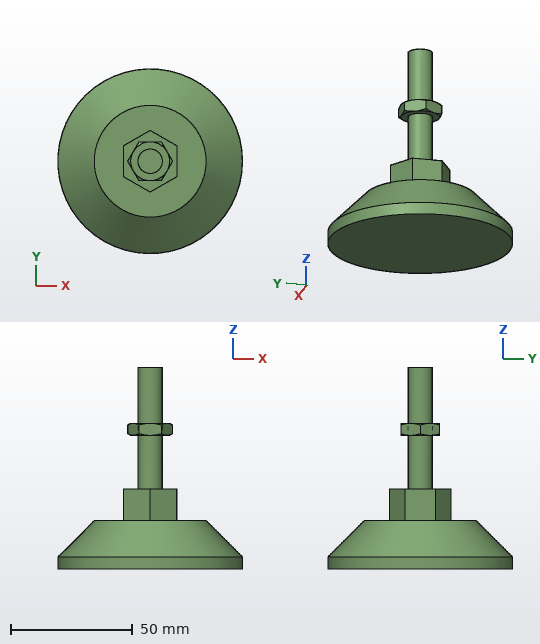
import cadquery as cq
import math

PAD_DIAMETER = 76.0
PAD_TOP_DIAMETER = 46.0
PAD_RIM_HEIGHT = 5.0
PAD_HEIGHT = 20.0

STUD_DIAMETER = 10.0
STUD_TOP = 82.9
STUD_HEX_ACROSS_FLATS = 22.0
STUD_HEX_HEIGHT = 13.0

NUT_ACROSS_FLATS = 16.0
NUT_BOTTOM = 55.0
NUT_HEIGHT = 5.0
NUT_CHAMFER_ANGLE = 30.0


def corner_diameter(across_flats):
    return across_flats / math.cos(math.pi / 6)


def make_pad():
    """Disc rim with a cone above it, ending in a flat top."""
    outer_radius = PAD_DIAMETER / 2
    profile = [
        (0, 0),
        (outer_radius, 0),
        (outer_radius, PAD_RIM_HEIGHT),
        (PAD_TOP_DIAMETER / 2, PAD_HEIGHT),
        (0, PAD_HEIGHT),
    ]
    return cq.Workplane("XZ").polyline(profile).close().revolve(360, (0, 0), (0, 1))


def make_stud():
    """Hexagon standing on the pad, corners along Y, with the round stud above it."""
    hexagon = (
        cq.Workplane("XY", origin=(0, 0, PAD_HEIGHT))
        .polygon(6, corner_diameter(STUD_HEX_ACROSS_FLATS))
        .extrude(STUD_HEX_HEIGHT)
        .rotate((0, 0, 0), (0, 0, 1), 90)
    )
    shank_length = STUD_TOP - PAD_HEIGHT - STUD_HEX_HEIGHT
    return hexagon.faces(">Z").workplane().circle(STUD_DIAMETER / 2).extrude(shank_length)


def make_nut():
    """Hexagonal nut, corners along X, with its corners chamfered at both ends."""
    corner_radius = corner_diameter(NUT_ACROSS_FLATS) / 2
    face_radius = NUT_ACROSS_FLATS / 2
    chamfer_height = (corner_radius - face_radius) * math.tan(math.radians(NUT_CHAMFER_ANGLE))
    blank = cq.Workplane("XY").polygon(6, 2 * corner_radius).extrude(NUT_HEIGHT)
    chamfer_profile = [
        (0, 0),
        (face_radius, 0),
        (corner_radius, chamfer_height),
        (corner_radius, NUT_HEIGHT - chamfer_height),
        (face_radius, NUT_HEIGHT),
        (0, NUT_HEIGHT),
    ]
    envelope = cq.Workplane("XZ").polyline(chamfer_profile).close().revolve(360, (0, 0), (0, 1))
    bore = cq.Workplane("XY").circle(STUD_DIAMETER / 2).extrude(NUT_HEIGHT)
    return blank.intersect(envelope).cut(bore).translate((0, 0, NUT_BOTTOM))


pad = make_pad()
stud = make_stud()
nut = make_nut()

result = cq.Compound.makeCompound([pad.val(), stud.val(), nut.val()])